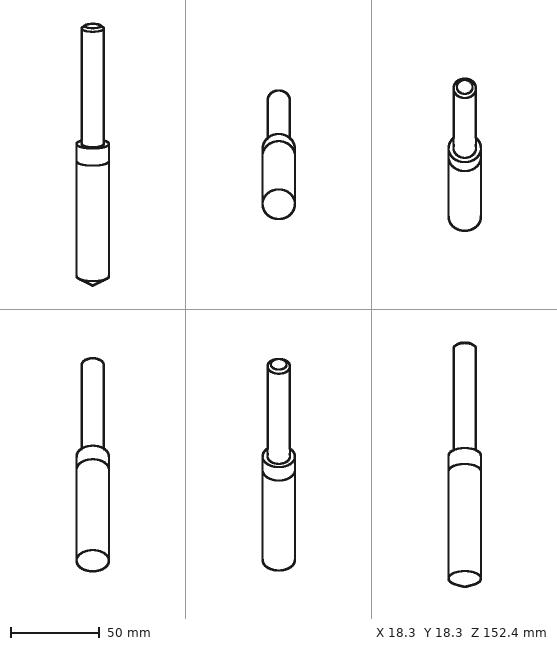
import cadquery as cq

total_length = 152.4
body_diameter = 18.3
shank_diameter = 12.6

tip_height = 5.5
joint_height = 73.2
collar_length = 10.0

bevel_width = 1.8
bevel_height = 1.5

body_radius = body_diameter / 2
shank_radius = shank_diameter / 2
collar_top = joint_height + collar_length


def revolve_profile(points):
    """Revolve a closed (radius, height) outline about the Z axis."""
    return cq.Workplane("XZ").polyline(points).close().revolve(360, (0, 0), (0, 1))


def make_cutting_body():
    """Cylinder with a conical point at its lower end."""
    return revolve_profile([
        (0, 0),
        (body_radius, tip_height),
        (body_radius, joint_height),
        (0, joint_height),
    ])


def make_shank():
    """Collar as wide as the cutting body, with a slimmer bevelled shaft above it."""
    return revolve_profile([
        (0, joint_height),
        (body_radius, joint_height),
        (body_radius, collar_top),
        (shank_radius, collar_top),
        (shank_radius, total_length - bevel_height),
        (shank_radius - bevel_width, total_length),
        (0, total_length),
    ])


cutting_body = make_cutting_body()
shank = make_shank()

result = cq.Compound.makeCompound([cutting_body.val(), shank.val()])